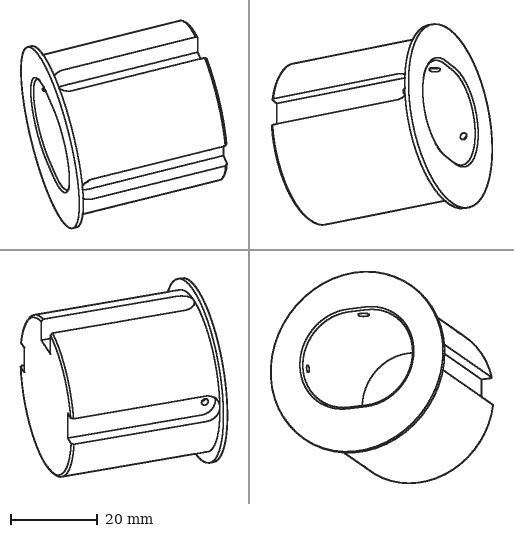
import cadquery as cq

flange_diameter = 43.2
flange_thickness = 1.0
body_diameter = 38.0
total_length = 37.0
edge_chamfer = 0.5

bore_width = 27.5
bore_height = 23.0
bore_center_z = 0.9
end_wall = 1.0

groove_width = 6.65
groove_center_y = flange_thickness + groove_width / 2
top_floor_z = 13.15
side_floor_x = 15.7

top_hole_diameter = 2.5
top_hole_y = 4.05
side_hole_diameter = 1.6
side_hole_y = 3.55


def make_body():
    """Flange disc with a cylindrical body chamfered at its rear edge."""
    plane = cq.Workplane("XZ")
    flange = plane.circle(flange_diameter / 2).extrude(-flange_thickness)
    barrel = plane.circle(body_diameter / 2).extrude(-total_length)
    return flange.union(barrel.faces(">Y").chamfer(edge_chamfer))


def cut_bore(body):
    """Cut the blind obround bore and chamfer its mouth."""
    mouth_plane = cq.Workplane("XZ").center(0, bore_center_z)
    bore = mouth_plane.slot2D(bore_width, bore_height).extrude(-(total_length - end_wall))
    mouth_width = bore_width + 2 * edge_chamfer
    mouth_height = bore_height + 2 * edge_chamfer
    mouth = mouth_plane.slot2D(mouth_width, mouth_height).extrude(-edge_chamfer, taper=45)
    return body.cut(bore).cut(mouth)


def make_groove(plane, floor):
    """Groove cutter above its floor, with the plane's local y along the body axis."""
    rear_length = total_length - groove_center_y
    height = flange_diameter / 2 - floor
    base = plane.workplane(offset=floor).center(0, groove_center_y)
    round_end = base.circle(groove_width / 2).extrude(height)
    channel = base.center(0, rear_length / 2).rect(groove_width, rear_length).extrude(height)
    return round_end.union(channel)


def make_hole(plane, diameter, hole_y):
    """Radial drill running outward from the bore axis."""
    return plane.center(0, hole_y).circle(diameter / 2).extrude(flange_diameter / 2)


top_plane = cq.Workplane("XY")
result = cut_bore(make_body())
result = result.cut(make_groove(top_plane, top_floor_z))
result = result.cut(make_hole(top_plane, top_hole_diameter, top_hole_y))

for side in (-1, 1):
    side_plane = cq.Workplane(
        cq.Plane(origin=(0, 0, bore_center_z), xDir=(0, 0, -side), normal=(side, 0, 0))
    )
    result = result.cut(make_groove(side_plane, side_floor_x))
    result = result.cut(make_hole(side_plane, side_hole_diameter, side_hole_y))